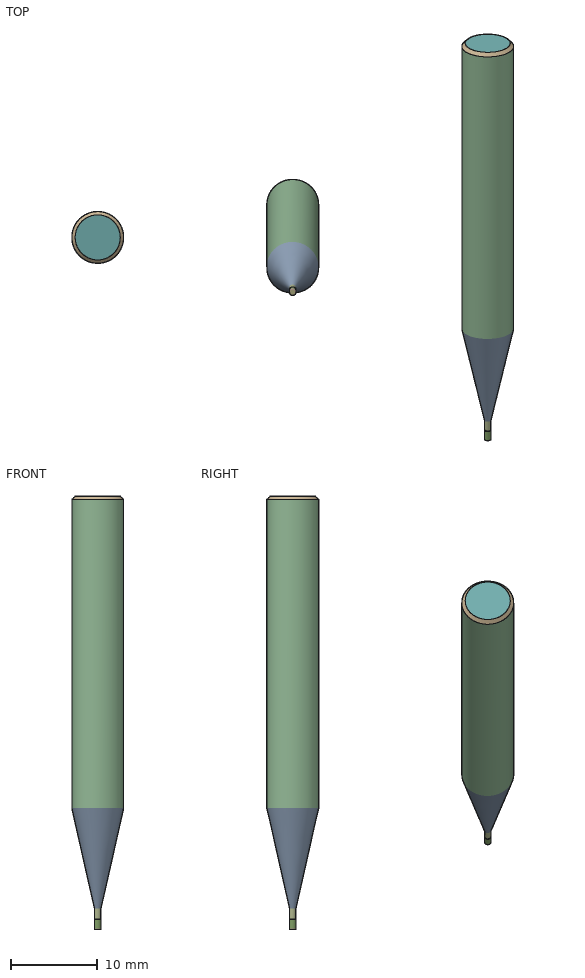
import cadquery as cq

total_length = 50.0
shank_diameter = 6.0
shank_length = 36.0
shank_chamfer = 0.4

tip_diameter = 0.8
tip_length = 1.2
tip_corner_radius = 0.1

neck_diameter = 0.75
neck_top = 2.4
neck_shoulder_height = 0.06

shank_radius = shank_diameter / 2
tip_radius = tip_diameter / 2
neck_radius = neck_diameter / 2
shank_bottom = total_length - shank_length


def make_holder():
    """Chamfered shank, long cone, and thin neck that widens to meet the tip."""
    return (
        cq.Workplane("XZ")
        .moveTo(0, tip_length)
        .lineTo(tip_radius, tip_length)
        .lineTo(neck_radius, tip_length + neck_shoulder_height)
        .lineTo(neck_radius, neck_top)
        .lineTo(shank_radius, shank_bottom)
        .lineTo(shank_radius, total_length - shank_chamfer)
        .lineTo(shank_radius - shank_chamfer, total_length)
        .lineTo(0, total_length)
        .close()
        .revolve(360, (0, 0, 0), (0, 1, 0))
    )


def make_cutting_tip():
    """Short cylinder with a rounded corner around its end face."""
    return (
        cq.Workplane("XY")
        .circle(tip_radius)
        .extrude(tip_length)
        .faces("<Z")
        .edges()
        .fillet(tip_corner_radius)
    )


holder = make_holder()
cutting_tip = make_cutting_tip()

result = cq.Compound.makeCompound([holder.val(), cutting_tip.val()])